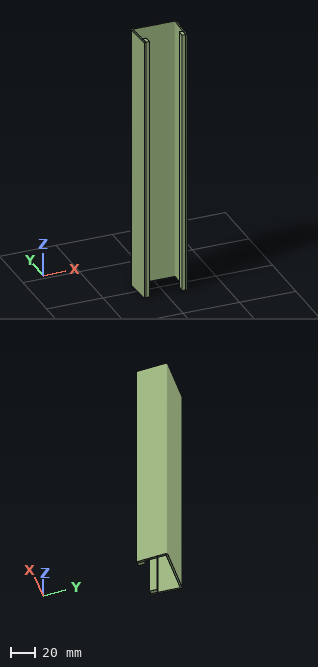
import cadquery as cq
import math

length = 235.99
width = 40.53
depth = 27.0

sheet = 1.6
bend_inner = 0.5
bend_outer = bend_inner + sheet
leg_lean = 2.65

strip_thickness = 3.2
strip_height = 6.4

lean = math.radians(leg_lean)
bend_x = width / 2 - bend_outer
bend_y = depth - bend_outer

outward = (math.cos(lean), -math.sin(lean))
down = (-math.sin(lean), -math.cos(lean))
leg_length = (bend_y + bend_outer * outward[1]) / -down[1]


def leg_point(offset, distance):
    """Point at an offset from the bend centre across the leg and a distance down the leg."""
    return (
        bend_x + offset * outward[0] + distance * down[0],
        bend_y + offset * outward[1] + distance * down[1],
    )


def bend_middle(radius):
    """Point halfway round the +X bend."""
    angle = (math.pi / 2 - lean) / 2
    return (bend_x + radius * math.cos(angle), bend_y + radius * math.sin(angle))


def mirrored(point):
    """The matching point on the -X side."""
    return (-point[0], point[1])


def make_channel():
    """Sheet folded into a channel, open toward -Y, with legs that lean toward each other."""
    outer_arc = (bend_x, depth), bend_middle(bend_outer), leg_point(bend_outer, 0)
    inner_arc = leg_point(bend_inner, 0), bend_middle(bend_inner), (bend_x, depth - sheet)
    outer_end = leg_point(bend_outer, leg_length)
    inner_end = leg_point(bend_inner, leg_length)
    return (
        cq.Workplane("XY")
        .moveTo(*mirrored(outer_arc[0]))
        .lineTo(*outer_arc[0])
        .threePointArc(*outer_arc[1:])
        .lineTo(*outer_end)
        .lineTo(*inner_end)
        .lineTo(*inner_arc[0])
        .threePointArc(*inner_arc[1:])
        .lineTo(*mirrored(inner_arc[2]))
        .threePointArc(mirrored(inner_arc[1]), mirrored(inner_arc[0]))
        .lineTo(*mirrored(inner_end))
        .lineTo(*mirrored(outer_end))
        .lineTo(*mirrored(outer_arc[2]))
        .threePointArc(mirrored(outer_arc[1]), mirrored(outer_arc[0]))
        .close()
        .extrude(length)
    )


def make_strip(side):
    """Strip against the inner face of one leg, flush with its free end; side is 1 for +X, -1 for -X."""
    outer_face = bend_inner
    inner_face = bend_inner - strip_thickness
    strip_top = leg_length - strip_height
    corners = [
        leg_point(outer_face, leg_length),
        leg_point(inner_face, leg_length),
        leg_point(inner_face, strip_top),
        leg_point(outer_face, strip_top),
    ]
    outline = [(side * x, y) for x, y in corners]
    return cq.Workplane("XY").polyline(outline).close().extrude(length)


channel = make_channel()
strips = [make_strip(side) for side in (-1, 1)]

result = cq.Compound.makeCompound([channel.val(), *[strip.val() for strip in strips]])